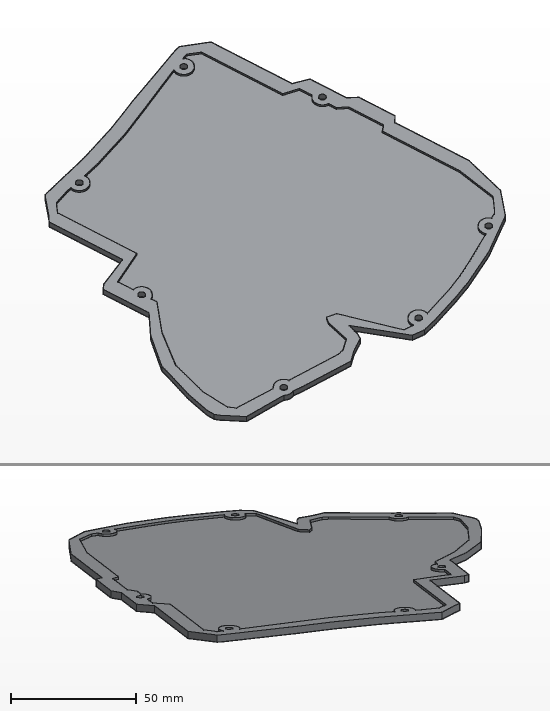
import cadquery as cq

LENGTH = 166.13
WIDTH = 171.55
THICKNESS = 3.0
POCKET_DEPTH = 1.0

HOLE_DIAMETER = 3.0
LAND_DIAMETER = 8.5
HOLE_CENTRES = [
    (-75.4, 59.9),
    (-20.8, 77.7),
    (72.4, 58.5),
    (77.1, 2.4),
    (53.8, -58.3),
    (-20.6, -49.6),
    (-74.7, -14.5),
]

LEFT_X = -LENGTH / 2
RIGHT_X = LENGTH / 2
BACK_Y = WIDTH / 2
FRONT_Y = -WIDTH / 2

RIM = 6.6
CORNER_FRONT_RIM = 5.9
BACK_TAB_HEIGHT = 3.0
BACK_STEP_HEIGHT = 6.0
STEP_BACK_Y = BACK_Y - BACK_TAB_HEIGHT
CORNER_BACK_Y = STEP_BACK_Y - BACK_STEP_HEIGHT
CORNER_FRONT_Y = -38.5
STEP_FRONT_Y = -55.9

CORNER_BACK_START_X = -73.9
CORNER_BACK_END_X = -34.8
STEP_BACK_END_X = 46.2
CORNER_FRONT_START_X = -72.7

OUTER_BACK = [
    (CORNER_BACK_START_X, CORNER_BACK_Y),
    (CORNER_BACK_END_X, CORNER_BACK_Y),
    (-30.3, STEP_BACK_Y),
    (-12.7, STEP_BACK_Y),
    (-8.8, BACK_Y),
    (8.7, BACK_Y),
    (10.3, STEP_BACK_Y),
    (STEP_BACK_END_X, STEP_BACK_Y),
]
OUTER_RIGHT = [
    (65.7, 76.7),
    (74.8, 66.8),
    (80.2, 47.2),
    (82.6, 29.3),
    (RIGHT_X, 19.1),
    (RIGHT_X, 5.4),
    (82.6, -1.5),
    (80.3, -6.6),
]
OUTER_LOBE = [
    (56.6, -16.5),
    (61.8, -18.2),
    (64.2, -19.7),
    (65.7, -26.3),
    (67.9, -31.8),
    (59.6, -54.1),
    (56.3, -61.5),
    (50.4, -79.5),
    (40.9, -85.1),
    (39.1, FRONT_Y),
    (35.5, -85.6),
    (24.8, -82.8),
    (10.4, -77.4),
    (7.6, -76.5),
    (-5.3, -65.5),
]
OUTER_FRONT = [
    (-12.7, STEP_FRONT_Y),
    (-34.9, STEP_FRONT_Y),
    (-36.2, -53.5),
    (-37.4, CORNER_FRONT_Y),
    (CORNER_FRONT_START_X, CORNER_FRONT_Y),
]
OUTER_LEFT = [
    (-75.0, -35.5),
    (-82.3, -27.5),
    (-81.7, -18.2),
    (-81.0, -8.7),
    (-80.6, -1.5),
    (-80.6, 16.4),
    (-81.1, 24.2),
    (-81.8, 33.8),
    (-82.1, 42.1),
    (-82.4, 49.9),
    (LEFT_X, 65.4),
    (-82.8, 67.7),
]

POCKET_BACK = [
    (CORNER_BACK_START_X, CORNER_BACK_Y - RIM),
    (CORNER_BACK_END_X, CORNER_BACK_Y - RIM),
    (-30.9, STEP_BACK_Y - RIM),
    (-13.0, STEP_BACK_Y - RIM),
    (-9.4, BACK_Y - RIM),
    (7.6, BACK_Y - RIM),
    (9.0, STEP_BACK_Y - RIM),
    (STEP_BACK_END_X, STEP_BACK_Y - RIM),
]
POCKET_RIGHT = [
    (65.0, 72.4),
    (68.4, 68.2),
    (70.5, 65.5),
    (71.0, 62.4),
    (73.9, 54.1),
    (76.8, 38.2),
    (78.0, 29.9),
    (78.6, 22.1),
    (78.6, 6.6),
    (77.4, -2.4),
    (75.9, -6.0),
    (74.1, -6.7),
]
POCKET_LOBE = [
    (49.0, -14.1),
    (46.7, -18.0),
    (49.0, -19.9),
    (59.7, -23.0),
    (61.9, -28.7),
    (61.8, -31.4),
    (44.5, -78.0),
    (41.2, -79.6),
    (28.7, -78.4),
    (11.9, -72.9),
    (-2.7, -61.4),
]
POCKET_FRONT = [
    (-13.4, STEP_FRONT_Y + RIM),
    (-32.4, STEP_FRONT_Y + RIM),
    (-34.6, CORNER_FRONT_Y + CORNER_FRONT_RIM),
    (CORNER_FRONT_START_X, CORNER_FRONT_Y + CORNER_FRONT_RIM),
]
POCKET_LEFT = [
    (-76.2, -28.4),
    (-76.2, -20.9),
    (-75.0, -9.6),
    (-74.4, -1.8),
    (-74.4, 17.3),
    (-75.6, 32.3),
    (-77.4, 53.2),
    (-78.1, 63.3),
    (-78.1, 66.0),
]


def prism(outline, base_z, height):
    """A straight-sided solid over a closed outline of corner points."""
    return cq.Workplane("XY").workplane(offset=base_z).polyline(outline).close().extrude(height)


def cylinders(diameter, height):
    """One cylinder at every hole centre, standing on Z = 0."""
    return cq.Workplane("XY").pushPoints(HOLE_CENTRES).circle(diameter / 2).extrude(height)


def make_plate():
    outline = OUTER_BACK + OUTER_RIGHT + OUTER_LOBE + OUTER_FRONT + OUTER_LEFT
    return prism(outline, 0, THICKNESS)


def make_pocket():
    outline = POCKET_BACK + POCKET_RIGHT + POCKET_LOBE + POCKET_FRONT + POCKET_LEFT
    return prism(outline, THICKNESS - POCKET_DEPTH, POCKET_DEPTH)


lands = cylinders(LAND_DIAMETER, THICKNESS)
holes = cylinders(HOLE_DIAMETER, THICKNESS)
result = make_plate().cut(make_pocket()).union(lands).cut(holes)